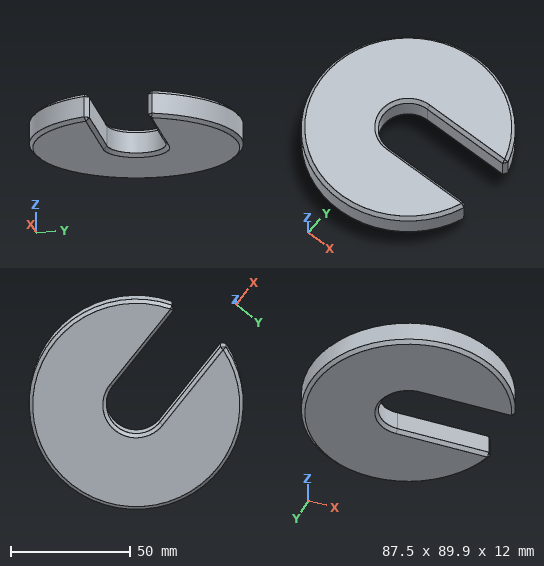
import cadquery as cq
import math

diameter = 89.9
thickness = 12.0
slot_width = 25.0
edge_chamfer = 1.5
mouth_chamfer = 2.1
cutter_size = 9.0

radius = diameter / 2
slot_half = slot_width / 2


def slot_cutter():
    """Round-ended slot, centred on the disc and open towards +X."""
    round_end = cq.Workplane("XY").circle(slot_half).extrude(thickness / 2, both=True)
    channel = cq.Workplane("XY").box(diameter, slot_width, thickness, centered=(False, True, True))
    return round_end.union(channel)


def mouth_cutter():
    """Chamfer tool for the +Y mouth corner.

    Its face is upright between the outline chamfers, then leans inwards
    above and below to reach the corner of each flat face.
    """
    wall_end = cq.Vector(math.sqrt(radius**2 - slot_half**2) - mouth_chamfer, slot_half, 0)
    rim_angle = math.asin(slot_half / radius) + mouth_chamfer / radius
    rim_end = cq.Vector(radius * math.cos(rim_angle), radius * math.sin(rim_angle), 0)

    flat_y = slot_half + edge_chamfer
    flat_corner = cq.Vector(math.sqrt((radius - edge_chamfer) ** 2 - flat_y**2), flat_y, 0)

    along = (rim_end - wall_end).normalized()
    outward = cq.Vector(along.y, -along.x, 0)
    lean = (flat_corner - wall_end).dot(outward)

    half_height = thickness / 2
    shoulder = half_height - edge_chamfer
    section = cq.Plane(origin=wall_end, xDir=outward, normal=along)
    profile = [
        (0, -shoulder),
        (0, shoulder),
        (lean, half_height),
        (cutter_size, half_height),
        (cutter_size, -half_height),
        (lean, -half_height),
    ]
    return cq.Workplane(section).polyline(profile).close().extrude(cutter_size, both=True)


washer = cq.Workplane("XY").circle(radius).extrude(thickness / 2, both=True).cut(slot_cutter())

washer = washer.faces("<Z or >Z").edges().chamfer(edge_chamfer)

corner_cut = mouth_cutter()
result = washer.cut(corner_cut).cut(corner_cut.mirror("XZ"))